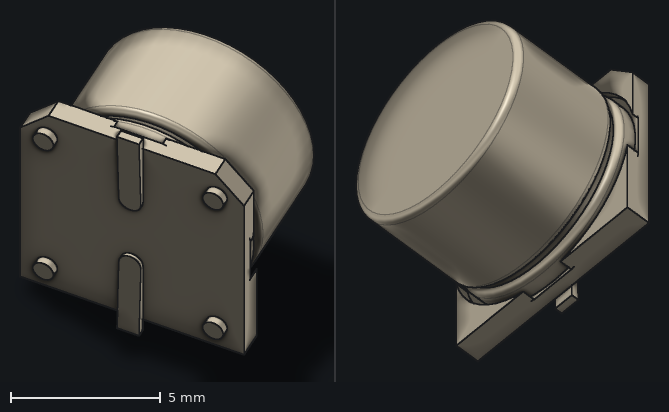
import cadquery as cq
import math

base_size = 8.3
corner_chamfer = 1.06
plate_height = 0.76
tall_rim_height = 0.995
recess_floor = 0.49
side_opening = 1.8

can_radius = 4.0
can_top = 5.9
can_edge_radius = 0.25
groove_bottom = 1.265
groove_width = 0.24

foot_diameter = 0.76
foot_spacing = 6.29
foot_height = 0.31
lead_span = 9.3
lead_width = 0.82
lead_length = 3.52
lead_tip_height = 0.31
lead_inner_height = 0.15

half_base = base_size / 2
recess_radius = math.hypot(half_base, side_opening / 2)


def block(x_range, y_range, z_range):
    """Box between the given limits on each axis."""
    lows, highs = zip(x_range, y_range, z_range)
    sizes = [high - low for low, high in zip(lows, highs)]
    return cq.Workplane("XY").box(*sizes, centered=False).translate(lows)


def make_base():
    """Square plate with two chamfered upper corners, a taller lower half and a recess for the can."""
    across = (-half_base, half_base)
    plate = block(across, (0, plate_height), across)
    plate = plate.edges("|Y and >Z").chamfer(corner_chamfer)
    rim = block(across, (0, tall_rim_height), (-half_base, 0))
    recess = (
        cq.Workplane("XZ", origin=(0, recess_floor, 0))
        .circle(recess_radius)
        .extrude(recess_floor - tall_rim_height)
    )
    return plate.union(rim).cut(recess)


def make_can():
    """Revolved can with rounded edges at the top and on both sides of the groove."""
    groove_top = groove_bottom + groove_width
    inset = can_radius - can_edge_radius
    diagonal = can_edge_radius * math.sin(math.pi / 4)
    return (
        cq.Workplane("XY")
        .moveTo(0, recess_floor)
        .lineTo(can_radius, recess_floor)
        .lineTo(can_radius, groove_bottom - can_edge_radius)
        .threePointArc(
            (inset + diagonal, groove_bottom - can_edge_radius + diagonal),
            (inset, groove_bottom),
        )
        .lineTo(inset, groove_top)
        .threePointArc(
            (inset + diagonal, groove_top + can_edge_radius - diagonal),
            (can_radius, groove_top + can_edge_radius),
        )
        .lineTo(can_radius, can_top - can_edge_radius)
        .threePointArc(
            (inset + diagonal, can_top - can_edge_radius + diagonal),
            (inset, can_top),
        )
        .lineTo(0, can_top)
        .close()
        .revolve(360, (0, 0, 0), (0, 1, 0))
    )


def make_feet():
    """Four round feet on a square pattern."""
    return (
        cq.Workplane("XZ")
        .rect(foot_spacing, foot_spacing, forConstruction=True)
        .vertices()
        .circle(foot_diameter / 2)
        .extrude(foot_height)
    )


def make_upper_lead():
    """Lead with a round inner end, thickening evenly towards its outer tip."""
    tip_z = lead_span / 2
    inner_z = tip_z - lead_length
    half_width = lead_width / 2
    outline = (
        cq.Workplane("XZ")
        .moveTo(-half_width, tip_z)
        .lineTo(-half_width, inner_z + half_width)
        .threePointArc((0, inner_z), (half_width, inner_z + half_width))
        .lineTo(half_width, tip_z)
        .close()
        .extrude(lead_tip_height)
    )
    wedge = (
        cq.Workplane("YZ")
        .moveTo(0, inner_z)
        .lineTo(-lead_inner_height, inner_z)
        .lineTo(-lead_tip_height, tip_z)
        .lineTo(0, tip_z)
        .close()
        .extrude(half_width, both=True)
    )
    return outline.intersect(wedge)


upper_lead = make_upper_lead()
lower_lead = upper_lead.mirror("XY")
result = make_base().union(make_can()).union(make_feet()).union(upper_lead).union(lower_lead)